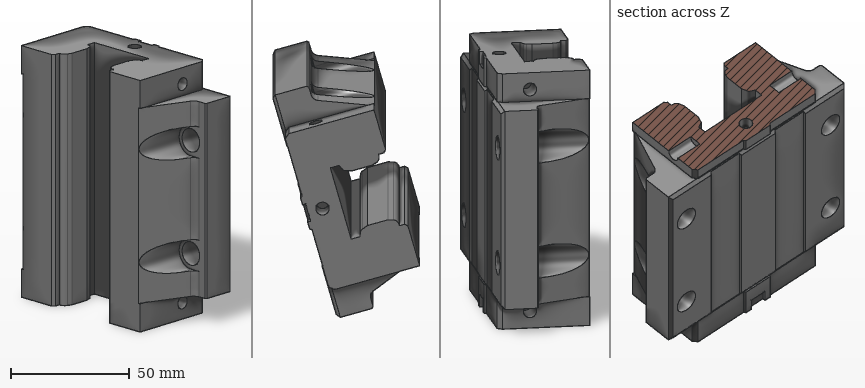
import cadquery as cq


LENGTH = 111.2
WIDTH = 100.0
HEIGHT = 40.5
FLANGE_HALF_WIDTH = WIDTH / 2
BLOCK_LENGTH = 86.3
CAP_LENGTH = (LENGTH - BLOCK_LENGTH) / 2

EDGE_CHAMFER = 1.5
GROOVE_DEPTH = 0.9
GROOVE_SLOPE = 0.5
CENTRE_PAD_HALF_WIDTH = 9.7
OUTER_PAD_START = 26.8

FLANGE_DEPTH = 16.0
FLANGE_LOWER_CHAMFER = 0.7
FLANGE_ROOT_X = 43.6
FLANGE_ROOT_RADIUS = 3.3
BLOCK_FOOT_HALF_WIDTH = 34.0

CAP_HALF_WIDTH = 35.0
CAP_TOP_DEPTH = 1.1
CAP_CHAMFER_X = 1.7
CAP_CHAMFER_Y = 2.0
RIDGE_TOP_DEPTH = 0.2
RIDGE_HALF_WIDTH = 6.9
RIDGE_SLOPE = 0.7
NOTCH_HALF_WIDTH = 3.9
NOTCH_DEPTH = 1.6
NOTCH_LENGTH = 5.5

CHANNEL_HALF_WIDTH = 16.0
CHANNEL_ROOF_DEPTH = 15.9
LIP_HALF_GAP = 12.2
LIP_TOP_DEPTH = 19.7
LIP_FLAT_START_DEPTH = 24.1
LIP_FLAT_END_DEPTH = 33.1
LIP_BOTTOM_DEPTH = 37.0
UPPER_LIP_ARC = ((13.9, 20.7), (13.5, 21.0), (13.1, 21.8))
LOWER_LIP_ARC = ((12.9, 35.3), (13.8, 36.5), (15.5, LIP_BOTTOM_DEPTH))
MOUTH_CHAMFER = 1.1

MOUNT_HALF_PITCH_X = 41.0
MOUNT_HALF_PITCH_Z = 25.0
MOUNT_HOLE_DIAMETER = 10.3
SPOTFACE_RADIUS = 6.9
SPOTFACE_OUTER_X = 46.7

PORT_DIAMETER = 5.6
END_PORT_DEPTH = 7.9
SIDE_PORT_DEPTH = 14.9
SIDE_PORT_FROM_END = 7.3
PORT_LENGTH = CAP_LENGTH

SIDES = (-1, 1)


def mirrored_prism(half_outline, length):
    """Close a +X half outline on the YZ plane, extrude it about Z = 0 and add its mirror."""
    half = half_outline.close().extrude(length / 2, both=True)
    return half.union(half.mirror("YZ"))


def make_block():
    outline = (
        cq.Workplane("XY")
        .moveTo(0, 0)
        .lineTo(CENTRE_PAD_HALF_WIDTH, 0)
        .lineTo(CENTRE_PAD_HALF_WIDTH + GROOVE_SLOPE, -GROOVE_DEPTH)
        .lineTo(OUTER_PAD_START - GROOVE_SLOPE, -GROOVE_DEPTH)
        .lineTo(OUTER_PAD_START, 0)
        .lineTo(FLANGE_HALF_WIDTH - EDGE_CHAMFER, 0)
        .lineTo(FLANGE_HALF_WIDTH, -EDGE_CHAMFER)
        .lineTo(FLANGE_HALF_WIDTH, -FLANGE_DEPTH + FLANGE_LOWER_CHAMFER)
        .lineTo(FLANGE_HALF_WIDTH - FLANGE_LOWER_CHAMFER, -FLANGE_DEPTH)
        .lineTo(FLANGE_ROOT_X, -FLANGE_DEPTH)
        .lineTo(BLOCK_FOOT_HALF_WIDTH, -HEIGHT)
        .lineTo(0, -HEIGHT)
    )
    block = mirrored_prism(outline, BLOCK_LENGTH)
    for side in SIDES:
        root_edge = cq.selectors.NearestToPointSelector((side * FLANGE_ROOT_X, -FLANGE_DEPTH, 0))
        block = block.edges(root_edge).fillet(FLANGE_ROOT_RADIUS)

    block_end = BLOCK_LENGTH / 2
    for side in SIDES:
        wedge = (
            cq.Workplane("YZ")
            .moveTo(0, side * block_end)
            .lineTo(-EDGE_CHAMFER, side * block_end)
            .lineTo(0, side * (block_end - EDGE_CHAMFER))
            .close()
            .extrude(FLANGE_HALF_WIDTH, both=True)
        )
        block = block.cut(wedge)
    return block


def make_caps():
    outline = (
        cq.Workplane("XY")
        .moveTo(0, -RIDGE_TOP_DEPTH)
        .lineTo(RIDGE_HALF_WIDTH, -RIDGE_TOP_DEPTH)
        .lineTo(RIDGE_HALF_WIDTH + RIDGE_SLOPE, -CAP_TOP_DEPTH)
        .lineTo(CAP_HALF_WIDTH - CAP_CHAMFER_X, -CAP_TOP_DEPTH)
        .lineTo(CAP_HALF_WIDTH, -CAP_TOP_DEPTH - CAP_CHAMFER_Y)
        .lineTo(CAP_HALF_WIDTH, -HEIGHT)
        .lineTo(0, -HEIGHT)
    )
    caps = mirrored_prism(outline, LENGTH)
    block_space = cq.Workplane("XY").box(2 * FLANGE_HALF_WIDTH, 2 * HEIGHT, BLOCK_LENGTH)
    caps = caps.cut(block_space)

    for side in SIDES:
        notch = (
            cq.Workplane("XY")
            .box(2 * NOTCH_HALF_WIDTH, 2 * NOTCH_DEPTH, NOTCH_LENGTH)
            .translate((0, 0, side * (LENGTH - NOTCH_LENGTH) / 2))
        )
        caps = caps.cut(notch)
    return caps


def make_rail_channel():
    upper_start, upper_mid, upper_end = [(x, -depth) for x, depth in UPPER_LIP_ARC]
    lower_start, lower_mid, lower_end = [(x, -depth) for x, depth in LOWER_LIP_ARC]
    outline = (
        cq.Workplane("XY")
        .moveTo(0, -CHANNEL_ROOF_DEPTH)
        .lineTo(CHANNEL_HALF_WIDTH, -CHANNEL_ROOF_DEPTH)
        .lineTo(CHANNEL_HALF_WIDTH, -LIP_TOP_DEPTH)
        .lineTo(*upper_start)
        .threePointArc(upper_mid, upper_end)
        .lineTo(LIP_HALF_GAP, -LIP_FLAT_START_DEPTH)
        .lineTo(LIP_HALF_GAP, -LIP_FLAT_END_DEPTH)
        .lineTo(*lower_start)
        .threePointArc(lower_mid, lower_end)
        .lineTo(CHANNEL_HALF_WIDTH, -LIP_BOTTOM_DEPTH)
        .lineTo(CHANNEL_HALF_WIDTH, -HEIGHT + MOUTH_CHAMFER)
        .lineTo(CHANNEL_HALF_WIDTH + MOUTH_CHAMFER, -HEIGHT)
        .lineTo(0, -HEIGHT)
    )
    return mirrored_prism(outline, LENGTH)


def make_mounting_hole(side_x, z):
    """Through hole plus a round-nosed spotface that opens outwards."""
    x = side_x * MOUNT_HALF_PITCH_X
    spotface_height = HEIGHT - FLANGE_DEPTH
    slot_length = SPOTFACE_OUTER_X - MOUNT_HALF_PITCH_X
    hole = cq.Workplane("XZ").center(x, z).circle(MOUNT_HOLE_DIAMETER / 2).extrude(HEIGHT)
    spotface_plane = cq.Workplane("XZ", origin=(0, -FLANGE_DEPTH, 0))
    nose = spotface_plane.center(x, z).circle(SPOTFACE_RADIUS).extrude(spotface_height)
    slot = (
        spotface_plane.center(x + side_x * slot_length / 2, z)
        .rect(slot_length, 2 * SPOTFACE_RADIUS)
        .extrude(spotface_height)
    )
    return hole.union(nose).union(slot)


def make_port(start, direction):
    return cq.Workplane(
        cq.Solid.makeCylinder(PORT_DIAMETER / 2, PORT_LENGTH, cq.Vector(*start), cq.Vector(*direction))
    )


result = make_block().union(make_caps()).cut(make_rail_channel())

for side_x in SIDES:
    for side_z in SIDES:
        result = result.cut(make_mounting_hole(side_x, side_z * MOUNT_HALF_PITCH_Z))
        side_port_z = side_z * (LENGTH / 2 - SIDE_PORT_FROM_END)
        side_port_start = (side_x * CAP_HALF_WIDTH, -SIDE_PORT_DEPTH, side_port_z)
        result = result.cut(make_port(side_port_start, (-side_x, 0, 0)))

for side_z in SIDES:
    end_port_start = (0, -END_PORT_DEPTH, side_z * LENGTH / 2)
    result = result.cut(make_port(end_port_start, (0, 0, -side_z)))